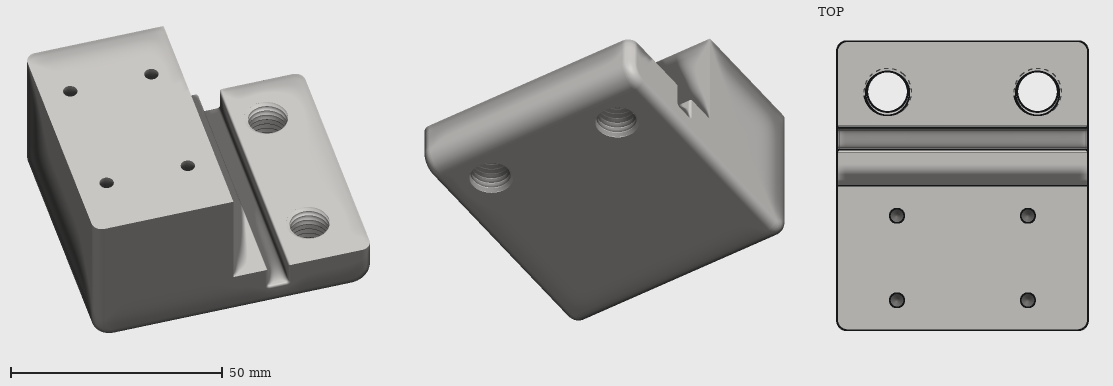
import cadquery as cq
import math

WIDTH = 59.5
LENGTH = 68.5
HEIGHT = 38.0
BLOCK_LENGTH = LENGTH / 2
SHELF_HEIGHT = 12.0
END_BOTTOM_RADIUS = 5.0
SIDE_RADIUS = 2.5

SLOT_WIDTH = 5.2
SLOT_DEPTH = 6.0
SLOT_TO_BLOCK = 11.1
SLOT_CENTER_Y = BLOCK_LENGTH + SLOT_TO_BLOCK
SLOT_RADIUS = 0.6

DRILL_DIAMETER = 3.4
DRILL_DEPTH = 10.0
DRILL_POINT_ANGLE = 118.0
DRILL_SPACING_X = 31.0
DRILL_SPACING_Y = 20.0

THREAD_MINOR_DIAMETER = 9.53
THREAD_MAJOR_DIAMETER = 11.19
THREAD_PITCH = 1.5
THREAD_EDGE_DISTANCE = 12.0
CREST_FLAT = THREAD_PITCH / 8
ROOT_FLAT = THREAD_PITCH / 8
CUTTER_OVERLAP = 0.1
BORE_OVERRUN = 3 * THREAD_PITCH


def make_body():
    """L-shaped side outline with round bottom ends, extruded across the width."""
    body = (
        cq.Workplane("YZ")
        .lineTo(LENGTH, 0)
        .lineTo(LENGTH, SHELF_HEIGHT)
        .lineTo(BLOCK_LENGTH, SHELF_HEIGHT)
        .lineTo(BLOCK_LENGTH, HEIGHT)
        .lineTo(0, HEIGHT)
        .close()
        .extrude(WIDTH / 2, both=True)
    )
    body = body.faces("<Z").edges("|X").fillet(END_BOTTOM_RADIUS)
    side_edges = body.faces("<Y or >Y").edges("|Z").add(body.faces("<Z").edges("|Y"))
    return side_edges.fillet(SIDE_RADIUS)


def cut_slot(body):
    """Cut the slot across the shelf and round its floor corners and all its rims."""
    floor_z = SHELF_HEIGHT - SLOT_DEPTH
    front_y = SLOT_CENTER_Y - SLOT_WIDTH / 2
    back_y = SLOT_CENTER_Y + SLOT_WIDTH / 2
    cutter = (
        cq.Workplane("XY", origin=(0, SLOT_CENTER_Y, floor_z))
        .rect(2 * WIDTH, SLOT_WIDTH)
        .extrude(HEIGHT)
        .faces("<Z")
        .edges("|X")
        .fillet(SLOT_RADIUS)
    )
    slotted = body.cut(cutter)
    margin = SLOT_RADIUS / 10
    slot_zone = cq.selectors.BoxSelector(
        (-WIDTH, front_y - margin, floor_z - margin),
        (WIDTH, back_y + margin, SHELF_HEIGHT + margin),
        boundingbox=True,
    )
    side_rims = slotted.faces("<X or >X").edges(slot_zone)
    top_rims = slotted.edges("|X").edges(slot_zone).edges(">Z")
    return side_rims.add(top_rims).fillet(SLOT_RADIUS)


def cut_drilled_holes(body):
    """Cut the four blind holes, each ending in a drill point."""
    radius = DRILL_DIAMETER / 2
    point_depth = radius / math.tan(math.radians(DRILL_POINT_ANGLE / 2))
    drill = (
        cq.Workplane("XZ")
        .lineTo(radius, 0)
        .lineTo(radius, -DRILL_DEPTH)
        .lineTo(0, -DRILL_DEPTH - point_depth)
        .close()
        .revolve(360, (0, 0), (0, 1))
    )
    for x in (-DRILL_SPACING_X / 2, DRILL_SPACING_X / 2):
        for offset_y in (-DRILL_SPACING_Y / 2, DRILL_SPACING_Y / 2):
            body = body.cut(drill.translate((x, BLOCK_LENGTH / 2 + offset_y, HEIGHT)))
    return body


def make_thread_cutter():
    """Helical groove cutter whose root meets the shelf top on the front (-Y) side."""
    minor_radius = THREAD_MINOR_DIAMETER / 2
    major_radius = THREAD_MAJOR_DIAMETER / 2
    inner_radius = minor_radius - CUTTER_OVERLAP
    root = ROOT_FLAT / 2
    groove_half_width = (THREAD_PITCH - CREST_FLAT) / 2
    flank_slope = (groove_half_width - root) / (major_radius - minor_radius)
    mouth = groove_half_width + flank_slope * CUTTER_OVERLAP
    turns_below = math.ceil(SHELF_HEIGHT / THREAD_PITCH) + 1
    start_z = SHELF_HEIGHT - turns_below * THREAD_PITCH
    helix = cq.Wire.makeHelix(THREAD_PITCH, (turns_below + 1) * THREAD_PITCH, minor_radius)
    groove = (
        cq.Workplane("XZ")
        .moveTo(inner_radius, -mouth)
        .lineTo(major_radius, -root)
        .lineTo(major_radius, root)
        .lineTo(inner_radius, mouth)
        .close()
        .sweep(cq.Workplane(obj=helix), isFrenet=True)
    )
    return groove.rotate((0, 0, 0), (0, 0, 1), -90).translate((0, 0, start_z))


def cut_threaded_holes(body):
    """Cut the two threaded holes through the shelf, bore and thread together."""
    bore = (
        cq.Workplane("XY", origin=(0, 0, -BORE_OVERRUN))
        .circle(THREAD_MINOR_DIAMETER / 2)
        .extrude(SHELF_HEIGHT + 2 * BORE_OVERRUN)
    )
    hole_cutter = bore.union(make_thread_cutter())
    hole_x = WIDTH / 2 - THREAD_EDGE_DISTANCE
    hole_y = LENGTH - THREAD_EDGE_DISTANCE
    for x in (-hole_x, hole_x):
        body = body.cut(hole_cutter.translate((x, hole_y, 0)))
    return body


part = make_body()
part = cut_slot(part)
part = cut_drilled_holes(part)
result = cut_threaded_holes(part)